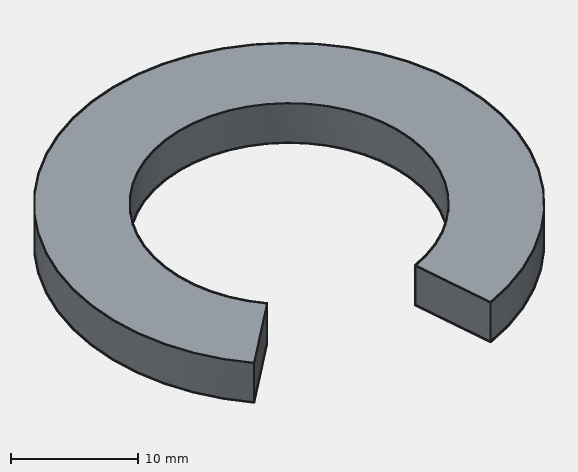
import cadquery as cq
import math

outer_radius = 20.0
bore_diameter = 25.0
thickness = 4.0
gap_angle = 60.0

bore_radius = bore_diameter / 2
half_gap = math.radians(gap_angle / 2)


def gap_corner(radius, side):
    """Point where the gap's end face meets a circle; side is +1 or -1 in Y."""
    return (radius * math.cos(half_gap), side * radius * math.sin(half_gap))


result = (
    cq.Workplane("XY")
    .moveTo(*gap_corner(outer_radius, 1))
    .threePointArc((-outer_radius, 0), gap_corner(outer_radius, -1))
    .lineTo(*gap_corner(bore_radius, -1))
    .threePointArc((-bore_radius, 0), gap_corner(bore_radius, 1))
    .close()
    .extrude(thickness)
)